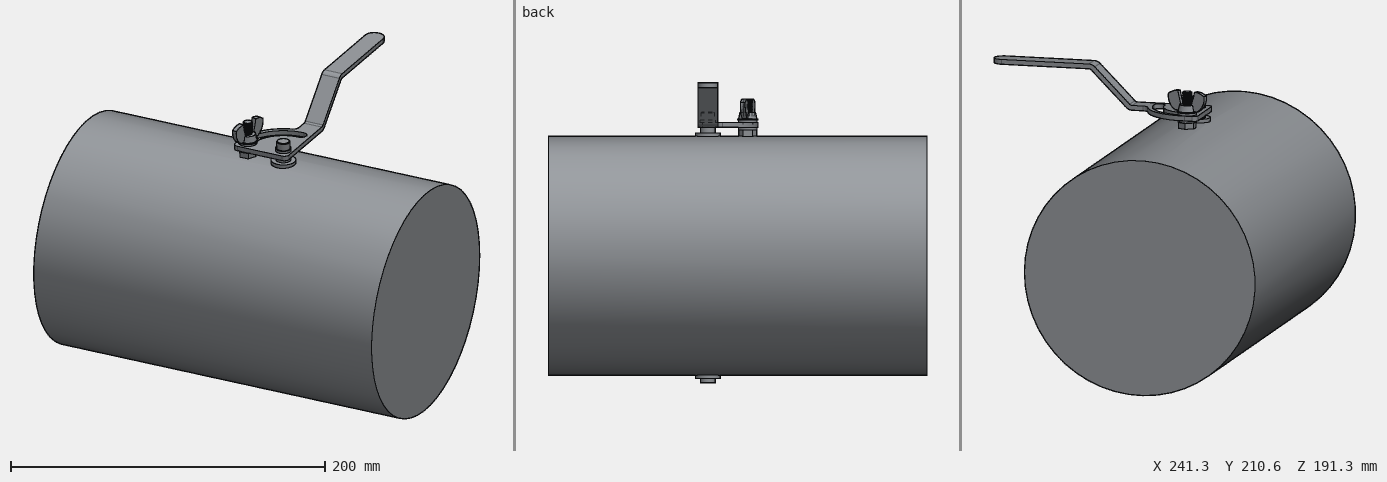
import cadquery as cq
import math

DRUM_LENGTH = 241.3
DRUM_DIA = 152.4
DRUM_RADIUS = DRUM_DIA / 2

STRIP_THICKNESS = 3.175
LEVER_WIDTH = 12.7
LEVER_RISE = 25.4
HANDLE_HEIGHT = 34.1
HANDLE_TOP_Z = DRUM_RADIUS + HANDLE_HEIGHT
PLATE_TOP_Z = HANDLE_TOP_Z - LEVER_RISE
PLATE_BOTTOM_Z = PLATE_TOP_Z - STRIP_THICKNESS
LEVER_REACH = 134.37
LOWER_BEND_START_Y = 41.6
BEND_ANGLE = math.radians(45)
BEND_INNER_RADIUS = 2.4
BEND_OUTER_RADIUS = BEND_INNER_RADIUS + STRIP_THICKNESS
QUADRANT_RADIUS = 32.0
PLATE_EDGE_Y = -8.0
CORNER_RADIUS = 3.2
NECK_FILLET = 4.0

SLOT_RADIUS = 25.4
SLOT_WIDTH = 7.0

SHAFT_X = 19.05
SHAFT_DIA = 9.53
SHAFT_OVERHANG = 4.76
SHAFT_BOTTOM_Z = -DRUM_RADIUS - SHAFT_OVERHANG
BEARING_DIA = 15.88
BEARING_HEIGHT = 2.1
COLLAR_DIA = 10.0
COLLAR_HEIGHT = 1.6
SHAFT_END_DIA = 8.5
SHAFT_END_HEIGHT = 6.6
SHAFT_END_CHAMFER = 0.5

BOLT_X = SHAFT_X - SLOT_RADIUS
BOLT_DIA = 6.0
BOLT_HEIGHT = 14.7
THREAD_PITCH = 1.0
THREAD_DEPTH = 0.5
NUT_ACROSS_FLATS = 10.0
WASHER_DIA = 12.0
WASHER_THICKNESS = 1.6

FLANGE_DIA = 13.2
FLANGE_HEIGHT = 0.6
HUB_BASE_DIA = 12.0
HUB_TOP_DIA = 10.0
HUB_HEIGHT = 4.8
WING_THICKNESS = 3.2
WING_ANGLE = 76
WING_ROOT_RADIUS = 3.6
WING_ROOT_FOOT = (WING_ROOT_RADIUS, 0.8)
WING_FOOT = (8.0, 0.8)
WING_BELLY = (12.2, 5.5)
WING_TIP = (13.0, 11.2)
WING_CROWN = (9.6, 13.0)
WING_PEAK = (6.0, 13.4)
WING_INNER = (4.8, 8.2)
WING_INNER_FOOT = (WING_ROOT_RADIUS, 4.4)

EMBED = 5.0


def disc(x, bottom_z, diameter, height):
    """Vertical cylinder standing on bottom_z at (x, 0)."""
    return cq.Workplane("XY", origin=(x, 0, bottom_z)).circle(diameter / 2).extrude(height)


def make_drum():
    return cq.Workplane("YZ").circle(DRUM_RADIUS).extrude(DRUM_LENGTH / 2, both=True)


def handle_outline():
    """Plan shape of quadrant and lever, as a prism over the full handle height."""
    half_width = LEVER_WIDTH / 2
    neck_y = math.sqrt(QUADRANT_RADIUS**2 - half_width**2)
    mid_angle = (math.pi + math.atan2(neck_y, -half_width)) / 2
    arc_middle = (QUADRANT_RADIUS * math.cos(mid_angle), QUADRANT_RADIUS * math.sin(mid_angle))
    prism = (
        cq.Workplane("XY", origin=(SHAFT_X, 0, PLATE_BOTTOM_Z))
        .moveTo(half_width, PLATE_EDGE_Y)
        .lineTo(half_width, LEVER_REACH - half_width)
        .threePointArc((0, LEVER_REACH), (-half_width, LEVER_REACH - half_width))
        .lineTo(-half_width, neck_y)
        .threePointArc(arc_middle, (-QUADRANT_RADIUS, 0))
        .lineTo(-QUADRANT_RADIUS, PLATE_EDGE_Y)
        .close()
        .extrude(HANDLE_TOP_Z - PLATE_BOTTOM_Z)
    )
    prism = prism.faces("<Y").edges("|Z").fillet(CORNER_RADIUS)
    neck = cq.selectors.NearestToPointSelector(
        (SHAFT_X - half_width, neck_y, (HANDLE_TOP_Z + PLATE_BOTTOM_Z) / 2)
    )
    return prism.edges("|Z").edges(neck).fillet(NECK_FILLET)


def strip_profile():
    """Side profile of the cranked strip, extruded across the whole handle width."""
    sin_bend = math.sin(BEND_ANGLE)
    cos_bend = math.cos(BEND_ANGLE)
    bend_radii = BEND_INNER_RADIUS + BEND_OUTER_RADIUS
    slope_length = (LEVER_RISE - bend_radii * (1 - cos_bend)) / sin_bend
    upper_bend_end_y = LOWER_BEND_START_Y + bend_radii * sin_bend + slope_length * cos_bend
    lower_centre = (LOWER_BEND_START_Y, PLATE_TOP_Z + BEND_INNER_RADIUS)
    upper_centre = (upper_bend_end_y, HANDLE_TOP_Z - BEND_OUTER_RADIUS)

    def on_lower(radius, angle):
        return (lower_centre[0] + radius * math.sin(angle), lower_centre[1] - radius * math.cos(angle))

    def on_upper(radius, angle):
        return (upper_centre[0] - radius * math.sin(angle), upper_centre[1] + radius * math.cos(angle))

    half_bend = BEND_ANGLE / 2
    inner = BEND_INNER_RADIUS
    outer = BEND_OUTER_RADIUS
    return (
        cq.Workplane("YZ", origin=(SHAFT_X, 0, 0))
        .moveTo(PLATE_EDGE_Y, PLATE_TOP_Z)
        .lineTo(*on_lower(inner, 0))
        .threePointArc(on_lower(inner, half_bend), on_lower(inner, BEND_ANGLE))
        .lineTo(*on_upper(outer, BEND_ANGLE))
        .threePointArc(on_upper(outer, half_bend), on_upper(outer, 0))
        .lineTo(LEVER_REACH, HANDLE_TOP_Z)
        .lineTo(LEVER_REACH, HANDLE_TOP_Z - STRIP_THICKNESS)
        .lineTo(*on_upper(inner, 0))
        .threePointArc(on_upper(inner, half_bend), on_upper(inner, BEND_ANGLE))
        .lineTo(*on_lower(outer, BEND_ANGLE))
        .threePointArc(on_lower(outer, half_bend), on_lower(outer, 0))
        .lineTo(PLATE_EDGE_Y, PLATE_BOTTOM_Z)
        .close()
        .extrude(QUADRANT_RADIUS, both=True)
    )


def arc_slot():
    """Quarter-circle slot cutter with round ends, from -X round to +Y of the shaft."""
    half_slot = SLOT_WIDTH / 2
    outer = SLOT_RADIUS + half_slot
    inner = SLOT_RADIUS - half_slot
    diagonal = math.sqrt(0.5)
    return (
        cq.Workplane("XY", origin=(SHAFT_X, 0, PLATE_BOTTOM_Z))
        .moveTo(-outer, 0)
        .threePointArc((-outer * diagonal, outer * diagonal), (0, outer))
        .threePointArc((half_slot, SLOT_RADIUS), (0, inner))
        .threePointArc((-inner * diagonal, inner * diagonal), (-inner, 0))
        .threePointArc((-SLOT_RADIUS, -half_slot), (-outer, 0))
        .close()
        .extrude(STRIP_THICKNESS)
    )


def make_handle():
    return handle_outline().intersect(strip_profile()).cut(arc_slot())


def make_shaft():
    shaft = disc(SHAFT_X, SHAFT_BOTTOM_Z, SHAFT_DIA, PLATE_TOP_Z - SHAFT_BOTTOM_Z)
    upper_bearing = disc(SHAFT_X, DRUM_RADIUS - EMBED, BEARING_DIA, EMBED + BEARING_HEIGHT)
    lower_bearing = disc(SHAFT_X, -DRUM_RADIUS - BEARING_HEIGHT, BEARING_DIA, EMBED + BEARING_HEIGHT)
    collar = disc(SHAFT_X, PLATE_TOP_Z, COLLAR_DIA, COLLAR_HEIGHT)
    shaft_end = disc(SHAFT_X, PLATE_TOP_Z, SHAFT_END_DIA, SHAFT_END_HEIGHT)
    shaft_end = shaft_end.faces(">Z").chamfer(SHAFT_END_CHAMFER)
    return shaft.union(upper_bearing).union(lower_bearing).union(collar).union(shaft_end)


def make_bolt():
    """Bolt rising from the drum, its exposed thread formed as ring-shaped V ridges."""
    crest = BOLT_DIA / 2
    root = crest - THREAD_DEPTH
    bolt_top_z = PLATE_TOP_Z + BOLT_HEIGHT
    hub_top_z = PLATE_TOP_Z + WASHER_THICKNESS + HUB_HEIGHT
    thread_count = math.floor((bolt_top_z - hub_top_z) / THREAD_PITCH)
    thread_start_z = bolt_top_z - (thread_count + 0.5) * THREAD_PITCH
    profile = (
        cq.Workplane("XZ", origin=(BOLT_X, 0, 0))
        .moveTo(0, DRUM_RADIUS - EMBED)
        .lineTo(crest, DRUM_RADIUS - EMBED)
        .lineTo(crest, thread_start_z)
    )
    for turn in range(thread_count, 0, -1):
        root_z = bolt_top_z - turn * THREAD_PITCH
        profile = profile.lineTo(root, root_z).lineTo(crest, root_z + THREAD_PITCH / 2)
    return profile.lineTo(root, bolt_top_z).lineTo(0, bolt_top_z).close().revolve(360, (0, 0), (0, 1))


def make_hex_nut():
    """Nut between drum and lower washer, two of its corners along X."""
    across_corners = NUT_ACROSS_FLATS / math.cos(math.radians(30))
    nut_top_z = PLATE_BOTTOM_Z - WASHER_THICKNESS
    return (
        cq.Workplane("XY", origin=(BOLT_X, 0, DRUM_RADIUS - EMBED))
        .polygon(6, across_corners)
        .extrude(nut_top_z - DRUM_RADIUS + EMBED)
    )


def make_wing():
    """One wing in the XZ plane, pointing along +X from the bolt axis at the origin."""
    return (
        cq.Workplane("XZ")
        .moveTo(*WING_ROOT_FOOT)
        .lineTo(*WING_FOOT)
        .threePointArc(WING_BELLY, WING_TIP)
        .threePointArc(WING_CROWN, WING_PEAK)
        .lineTo(*WING_INNER)
        .lineTo(*WING_INNER_FOOT)
        .close()
        .extrude(WING_THICKNESS / 2, both=True)
    )


def make_wing_nut():
    base_z = PLATE_TOP_Z + WASHER_THICKNESS
    flange = disc(0, 0, FLANGE_DIA, FLANGE_HEIGHT)
    hub = (
        cq.Workplane("XY")
        .circle(HUB_BASE_DIA / 2)
        .workplane(offset=HUB_HEIGHT)
        .circle(HUB_TOP_DIA / 2)
        .loft(ruled=True)
    )
    wing_nut = flange.union(hub)
    for side in (0, 180):
        wing_nut = wing_nut.union(make_wing().rotate((0, 0, 0), (0, 0, 1), WING_ANGLE + side))
    return wing_nut.translate((BOLT_X, 0, base_z))


def make_clamp():
    lower_washer = disc(BOLT_X, PLATE_BOTTOM_Z - WASHER_THICKNESS, WASHER_DIA, WASHER_THICKNESS)
    upper_washer = disc(BOLT_X, PLATE_TOP_Z, WASHER_DIA, WASHER_THICKNESS)
    clamp = make_bolt().union(make_hex_nut())
    return clamp.union(lower_washer).union(upper_washer).union(make_wing_nut())


result = make_drum().union(make_shaft()).union(make_handle()).union(make_clamp())